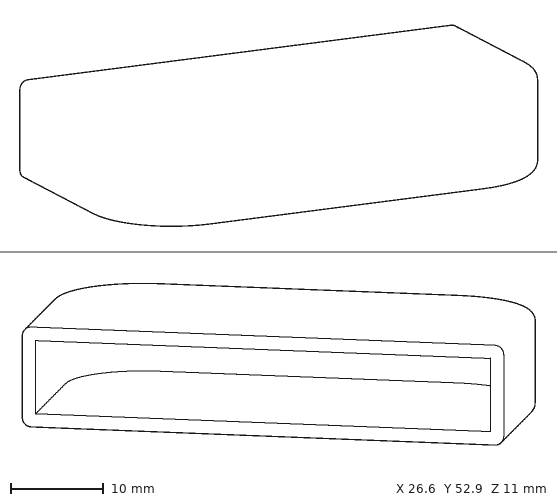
import cadquery as cq

depth = 26.6
width = 52.85
height = 11.0

wall = 1.5
corner_radius = 10.0
edge_radius = 1.0


def rounded_end_block(length, breadth, thickness, radius):
    """Block starting at X = 0 with its two vertical corners at +X rounded."""
    return (
        cq.Workplane("XY")
        .box(length, breadth, thickness, centered=(False, True, True))
        .edges("|Z and >X")
        .fillet(radius)
    )


body = rounded_end_block(depth, width, height, corner_radius)
body = body.faces("<Z or >Z").edges("not <X").fillet(edge_radius)

cavity = rounded_end_block(
    depth - wall,
    width - 2 * wall,
    height - 2 * wall,
    corner_radius - wall,
)

result = body.cut(cavity)